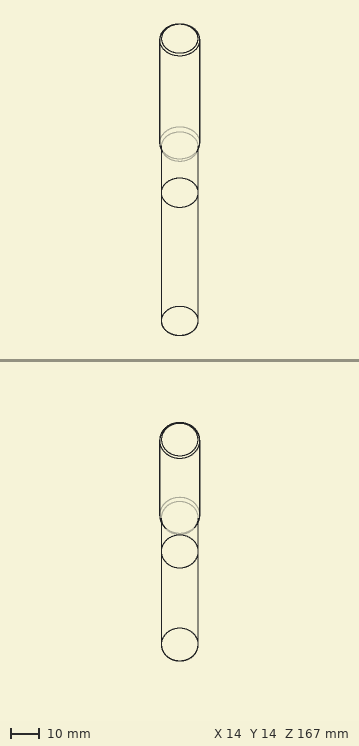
import cadquery as cq

total_length = 167.0
shank_diameter = 14.0
body_diameter = 12.9
cutter_length = 77.2
shank_length = 63.0

point_height = 2.3
top_bevel_width = 0.7
top_bevel_height = 0.7
step_bevel_height = 2.2

shank_radius = shank_diameter / 2
body_radius = body_diameter / 2
shank_bottom = total_length - shank_length


def make_cutter():
    """Cylindrical cutting portion with a conical point."""
    return (
        cq.Workplane("XZ")
        .moveTo(0, 0)
        .lineTo(body_radius, point_height)
        .lineTo(body_radius, cutter_length)
        .lineTo(0, cutter_length)
        .close()
        .revolve(360, (0, 0), (0, 1))
    )


def make_holder():
    """Neck and thicker shank, joined by a taper, with a bevelled top edge."""
    return (
        cq.Workplane("XZ")
        .moveTo(0, cutter_length)
        .lineTo(body_radius, cutter_length)
        .lineTo(body_radius, shank_bottom)
        .lineTo(shank_radius, shank_bottom + step_bevel_height)
        .lineTo(shank_radius, total_length - top_bevel_height)
        .lineTo(shank_radius - top_bevel_width, total_length)
        .lineTo(0, total_length)
        .close()
        .revolve(360, (0, 0), (0, 1))
    )


cutter = make_cutter()
holder = make_holder()

result = cq.Compound.makeCompound([cutter.val(), holder.val()])